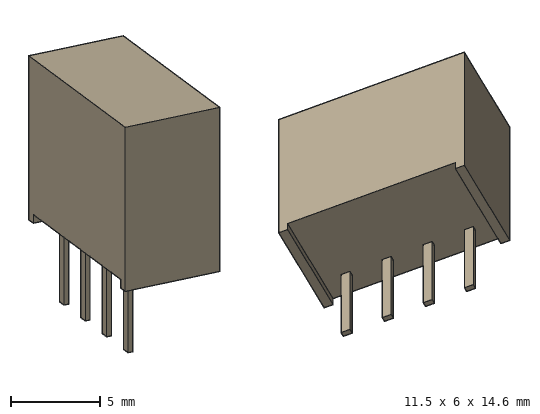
import cadquery as cq

case_length = 11.48
case_depth = 6.0
total_height = 14.6
case_height = 10.0
foot_width = 0.55
foot_height = 0.53

pin_count = 4
pin_pitch = 2.54
pin_width = 0.55
pin_thickness = 0.3
pin_row_offset = -0.05
pin_front_distance = 1.24

case_bottom = total_height - case_height
recess_top = case_bottom + foot_height
pin_y = pin_front_distance - case_depth / 2


def make_case():
    block = cq.Workplane("XY", origin=(0, 0, case_bottom)).rect(case_length, case_depth).extrude(case_height)
    recess = (
        cq.Workplane("XY", origin=(0, 0, case_bottom))
        .rect(case_length - 2 * foot_width, case_depth)
        .extrude(foot_height)
    )
    return block.cut(recess)


def make_pins():
    return (
        cq.Workplane("XY", origin=(pin_row_offset, pin_y, 0))
        .rarray(pin_pitch, 0.15, pin_count, 1)
        .rect(pin_width, pin_thickness)
        .extrude(recess_top)
    )


result = make_case().union(make_pins())